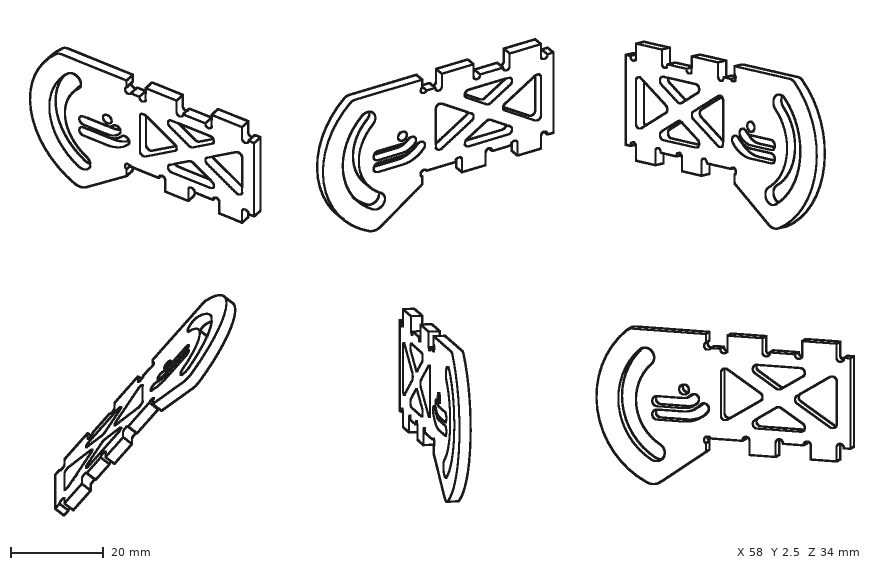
import cadquery as cq
import math

LENGTH = 58.0
THICKNESS = 2.5

ARM_HALF_HEIGHT = 10.0
TAB_HEIGHT = 3.0
TAB_Z = ARM_HALF_HEIGHT + TAB_HEIGHT
SHOULDER_X = 25.0
LAST_TAB_END = 54.85
TOP_TABS = [(29.9, 37.95), (47.0, LAST_TAB_END)]
BOTTOM_TABS = [(35.0, 40.95), (48.95, LAST_TAB_END)]
RELIEF_RADIUS = 0.8
RELIEF_DEPTH = 0.9
SHOULDER_RELIEF_OFFSET = 0.4

HEAD_RADIUS = 20.0
HEAD_X = HEAD_RADIUS
HEAD_Z = -2.55
LOWER_EDGE_ANGLE = 35.5
UPPER_CORNER_RADIUS = 2.0
LOWER_CORNER_RADIUS = 3.0
ARC_SLOT_RADIUS = 13.0
ARC_SLOT_WIDTH = 4.0
ARC_SLOT_START = 132.8
ARC_SLOT_END = 240.4

PIVOT_Z = 0.4
PIVOT_DIAMETER = 2.2
BENT_SLOT_WIDTH = 2.2
BENT_SLOT_RADII = [3.0, 6.0]
BENT_SLOT_LEFT = 13.85
BENT_SLOT_END_ANGLE = -40.0

TRUSS_HALF_LENGTH = 13.2
TRUSS_HALF_HEIGHT = 7.0
TRUSS_X = LAST_TAB_END - TRUSS_HALF_LENGTH
BRACE_WIDTH = 3.0
BRACE_ANGLE = math.radians(32.0)
WINDOW_CORNER_RADIUS = 1.0


def polar(center, radius, degrees):
    angle = math.radians(degrees)
    return (center[0] + radius * math.cos(angle), center[1] + radius * math.sin(angle))


def plane():
    return cq.Workplane("XZ")


def block(x_min, x_max, z_min, z_max):
    """Full-thickness rectangular block."""
    return (
        plane()
        .center((x_min + x_max) / 2, (z_min + z_max) / 2)
        .rect(x_max - x_min, z_max - z_min)
        .extrude(-THICKNESS)
    )


def disc(x, z, radius):
    return plane().center(x, z).circle(radius).extrude(-THICKNESS)


def round_corner(body, point, radius):
    """Round the through-thickness edge at the given X, Z point."""
    nearest = cq.NearestToPointSelector((point[0], THICKNESS / 2, point[1]))
    return body.edges("|Y").edges(nearest).fillet(radius)


def make_head():
    center = (HEAD_X, HEAD_Z)
    upper_rise = TAB_Z - HEAD_Z
    upper_corner = (HEAD_X - math.sqrt(HEAD_RADIUS**2 - upper_rise**2), TAB_Z)

    slope = math.radians(LOWER_EDGE_ANGLE)
    direction = (-math.cos(slope), -math.sin(slope))
    offset = (SHOULDER_X - HEAD_X, -TAB_Z - HEAD_Z)
    along = offset[0] * direction[0] + offset[1] * direction[1]
    offset_squared = offset[0] ** 2 + offset[1] ** 2
    run = -along + math.sqrt(along**2 - offset_squared + HEAD_RADIUS**2)
    lower_corner = (SHOULDER_X + run * direction[0], -TAB_Z + run * direction[1])

    head = (
        plane()
        .moveTo(SHOULDER_X, TAB_Z)
        .lineTo(*upper_corner)
        .threePointArc(polar(center, HEAD_RADIUS, 180), lower_corner)
        .lineTo(SHOULDER_X, -TAB_Z)
        .close()
        .extrude(-THICKNESS)
    )
    head = round_corner(head, upper_corner, UPPER_CORNER_RADIUS)
    return round_corner(head, lower_corner, LOWER_CORNER_RADIUS)


def make_relief(x, side):
    """Round-bottomed notch in the arm edge; side is 1 for the top, -1 for the bottom."""
    center_z = ARM_HALF_HEIGHT - RELIEF_DEPTH + RELIEF_RADIUS
    notch = disc(x, side * center_z, RELIEF_RADIUS)
    z_min, z_max = sorted((side * center_z, side * ARM_HALF_HEIGHT))
    return notch.union(block(x - RELIEF_RADIUS, x + RELIEF_RADIUS, z_min, z_max))


def add_arm(body):
    body = body.union(block(SHOULDER_X, LENGTH, -ARM_HALF_HEIGHT, ARM_HALF_HEIGHT))
    for side, tabs in ((1, TOP_TABS), (-1, BOTTOM_TABS)):
        z_min, z_max = sorted((0, side * TAB_Z))
        for start, end in tabs:
            body = body.union(block(start, end, z_min, z_max))
            body = body.cut(make_relief(start - RELIEF_RADIUS, side))
            body = body.cut(make_relief(end + RELIEF_RADIUS, side))
        relief_x = SHOULDER_X + SHOULDER_RELIEF_OFFSET
        relief_z = side * (ARM_HALF_HEIGHT + SHOULDER_RELIEF_OFFSET)
        body = body.cut(disc(relief_x, relief_z, RELIEF_RADIUS))
    return body


def make_arc_slot():
    center = (HEAD_X, HEAD_Z)
    middle = (ARC_SLOT_START + ARC_SLOT_END) / 2
    half_width = ARC_SLOT_WIDTH / 2
    inner = ARC_SLOT_RADIUS - half_width
    outer = ARC_SLOT_RADIUS + half_width
    slot = (
        plane()
        .moveTo(*polar(center, outer, ARC_SLOT_START))
        .threePointArc(polar(center, outer, middle), polar(center, outer, ARC_SLOT_END))
        .lineTo(*polar(center, inner, ARC_SLOT_END))
        .threePointArc(polar(center, inner, middle), polar(center, inner, ARC_SLOT_START))
        .close()
        .extrude(-THICKNESS)
    )
    for angle in (ARC_SLOT_START, ARC_SLOT_END):
        slot = slot.union(disc(*polar(center, ARC_SLOT_RADIUS, angle), half_width))
    return slot


def make_bent_slot(radius):
    """Slot with a straight run that turns upward concentric with the pivot hole."""
    pivot = (HEAD_X, PIVOT_Z)
    half_width = BENT_SLOT_WIDTH / 2
    inner = radius - half_width
    outer = radius + half_width
    bend_start = -90
    middle = (bend_start + BENT_SLOT_END_ANGLE) / 2
    slot = (
        plane()
        .moveTo(BENT_SLOT_LEFT, PIVOT_Z - outer)
        .lineTo(HEAD_X, PIVOT_Z - outer)
        .threePointArc(polar(pivot, outer, middle), polar(pivot, outer, BENT_SLOT_END_ANGLE))
        .lineTo(*polar(pivot, inner, BENT_SLOT_END_ANGLE))
        .threePointArc(polar(pivot, inner, middle), (HEAD_X, PIVOT_Z - inner))
        .lineTo(BENT_SLOT_LEFT, PIVOT_Z - inner)
        .close()
        .extrude(-THICKNESS)
    )
    slot = slot.union(disc(BENT_SLOT_LEFT, PIVOT_Z - radius, half_width))
    return slot.union(disc(*polar(pivot, radius, BENT_SLOT_END_ANGLE), half_width))


def make_window(points):
    return (
        plane()
        .center(TRUSS_X, 0)
        .polyline(points)
        .close()
        .extrude(-THICKNESS)
        .edges("|Y")
        .fillet(WINDOW_CORNER_RADIUS)
    )


def cut_windows(body):
    tip_x = BRACE_WIDTH / 2 / math.sin(BRACE_ANGLE)
    tip_z = BRACE_WIDTH / 2 / math.cos(BRACE_ANGLE)
    base_z = (TRUSS_HALF_LENGTH - tip_x) * math.tan(BRACE_ANGLE)
    base_x = (TRUSS_HALF_HEIGHT - tip_z) / math.tan(BRACE_ANGLE)
    for side in (-1, 1):
        end_x = side * TRUSS_HALF_LENGTH
        end_z = side * TRUSS_HALF_HEIGHT
        body = body.cut(make_window([(side * tip_x, 0), (end_x, base_z), (end_x, -base_z)]))
        body = body.cut(make_window([(0, side * tip_z), (base_x, end_z), (-base_x, end_z)]))
    return body


result = add_arm(make_head())
result = result.cut(make_arc_slot())
result = result.cut(disc(HEAD_X, PIVOT_Z, PIVOT_DIAMETER / 2))
for bend_radius in BENT_SLOT_RADII:
    result = result.cut(make_bent_slot(bend_radius))
result = cut_windows(result)